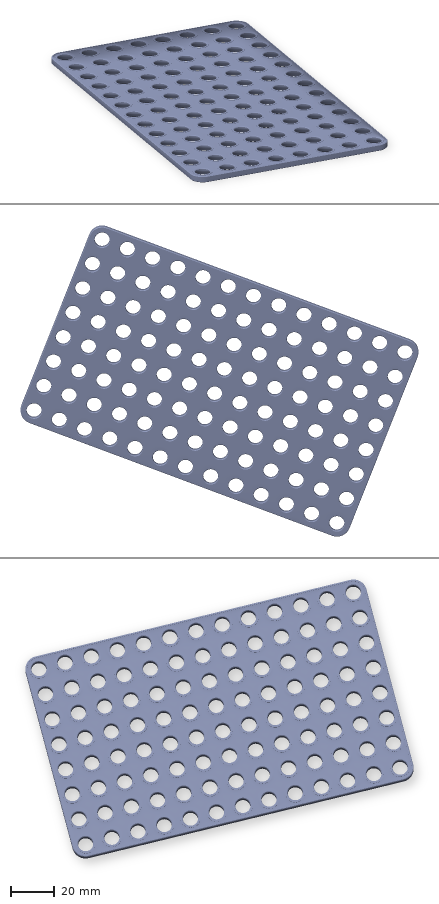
import cadquery as cq

length = 162.5
columns = 13
rows = 8
thickness = 3.1
hole_diameter = 7.0
edge_chamfer = 0.31
recess_depth = 0.2
border_lip_width = 0.8
hole_lip_width = 1.1

pitch = length / columns
width = rows * pitch
corner_radius = pitch / 2

hole_radius = hole_diameter / 2
lip_radius = hole_radius + hole_lip_width
recess_floor = thickness - recess_depth


def rounded_slab(inset, bottom, top):
    """Slab between two levels, its rounded outline set inward from the plate outline."""
    slab = cq.Workplane("XY").workplane(offset=bottom)
    slab = slab.rect(length - 2 * inset, width - 2 * inset).extrude(top - bottom)
    return slab.edges("|Z").fillet(corner_radius - inset)


def turned_grid(profile):
    """Copies of a turned solid, one per grid cell; the profile holds (radius, height) points."""
    turned = cq.Workplane("XZ").polyline(profile).close().revolve(360, (0, 0), (0, 1)).val()
    grid = cq.Workplane("XY").rarray(pitch, pitch, columns, rows)
    return grid.eachpoint(lambda place: turned.moved(place))


def make_plate():
    """Rounded plate standing on Z = 0, chamfered around both faces."""
    plate = rounded_slab(0, 0, thickness)
    return plate.faces("<Z or >Z").edges().chamfer(edge_chamfer)


def make_recess():
    """Shallow top recess that leaves a lip along the border and a round lip at every hole."""
    lip_profile = [
        (0, recess_floor),
        (lip_radius, recess_floor),
        (lip_radius, thickness),
        (0, thickness),
    ]
    return rounded_slab(border_lip_width, recess_floor, thickness).cut(turned_grid(lip_profile))


def make_holes():
    """Through holes, chamfered at both faces."""
    mouth_radius = hole_radius + edge_chamfer
    hole_profile = [
        (0, 0),
        (mouth_radius, 0),
        (hole_radius, edge_chamfer),
        (hole_radius, thickness - edge_chamfer),
        (mouth_radius, thickness),
        (0, thickness),
    ]
    return turned_grid(hole_profile)


result = make_plate().cut(make_recess()).cut(make_holes())